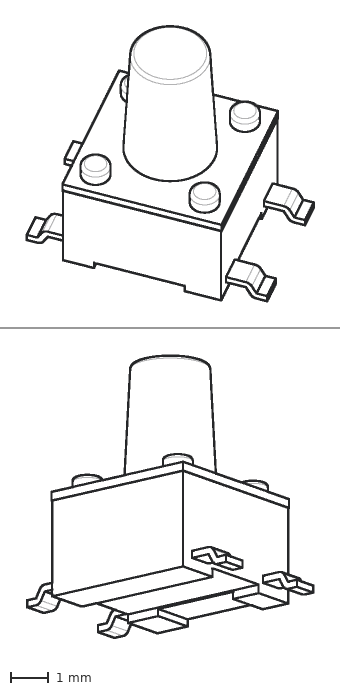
import cadquery as cq
import math


BODY_WIDTH = 4.475
BODY_HEIGHT = 2.66
COVER_WIDTH = 4.5
COVER_TOP = 2.905

CHANNEL_WIDTH = 1.96
CHANNEL_HEIGHT = 0.24
NOTCH_LENGTH = 2.565
NOTCH_HEIGHT = 0.2
NOTCH_CENTER_X = -0.08

PLUNGER_TOP = 6.5
PLUNGER_BASE_DIAMETER = 2.5
PLUNGER_TOP_DIAMETER = 2.135
EDGE_ROUNDING = 0.1

RIVET_DIAMETER = 0.8
RIVET_TOP = 3.305
RIVET_SPACING_X = 3.09
RIVET_SPACING_Y = 3.195

LEAD_SPAN = 6.8
LEAD_SPACING_Y = 3.005
LEAD_WIDTH = 0.7
LEAD_THICKNESS = 0.2
LEAD_TOP = 0.525
LEAD_FOOT_LENGTH = 0.3
LEAD_SLOPE = math.radians(60)
LEAD_EMBED = 0.135


def make_body():
    """Square housing with its cover, an X channel below and a notch joining it from -Y."""
    housing = cq.Workplane("XY").box(BODY_WIDTH, BODY_WIDTH, BODY_HEIGHT, centered=(True, True, False))
    cover = (
        cq.Workplane("XY")
        .workplane(offset=BODY_HEIGHT)
        .rect(COVER_WIDTH, COVER_WIDTH)
        .extrude(COVER_TOP - BODY_HEIGHT)
    )
    channel = cq.Workplane("XY").box(
        BODY_WIDTH, CHANNEL_WIDTH, CHANNEL_HEIGHT, centered=(True, True, False)
    )
    notch = (
        cq.Workplane("XY")
        .box(NOTCH_LENGTH, BODY_WIDTH / 2, NOTCH_HEIGHT, centered=(True, False, False))
        .translate((NOTCH_CENTER_X, -BODY_WIDTH / 2, 0))
    )
    return housing.cut(channel).cut(notch).union(cover)


def make_plunger():
    """Straight-sided cone with a rounded top edge."""
    return (
        cq.Workplane("XY")
        .workplane(offset=COVER_TOP)
        .circle(PLUNGER_BASE_DIAMETER / 2)
        .workplane(offset=PLUNGER_TOP - COVER_TOP)
        .circle(PLUNGER_TOP_DIAMETER / 2)
        .loft(ruled=True)
        .faces(">Z")
        .edges()
        .fillet(EDGE_ROUNDING)
    )


def make_rivets():
    """Four round heads with rounded top edges."""
    return (
        cq.Workplane("XY")
        .workplane(offset=COVER_TOP)
        .rarray(RIVET_SPACING_X, RIVET_SPACING_Y, 2, 2)
        .circle(RIVET_DIAMETER / 2)
        .extrude(RIVET_TOP - COVER_TOP)
        .faces(">Z")
        .edges()
        .fillet(EDGE_ROUNDING)
    )


def make_left_lead(center_y):
    """Bent strip: each bend has a sharp inner corner and an outer arc centred on it."""
    tip_x = -LEAD_SPAN / 2
    root_x = -BODY_WIDTH / 2 + LEAD_EMBED
    lower_z = LEAD_THICKNESS
    upper_z = LEAD_TOP - LEAD_THICKNESS

    rise = upper_z - lower_z
    run = (LEAD_THICKNESS + rise * math.cos(LEAD_SLOPE)) / math.sin(LEAD_SLOPE)
    lower_x = tip_x + LEAD_FOOT_LENGTH
    upper_x = lower_x + run

    def lower_arc(angle):
        return (
            lower_x + LEAD_THICKNESS * math.sin(angle),
            lower_z - LEAD_THICKNESS * math.cos(angle),
        )

    def upper_arc(angle):
        return (
            upper_x - LEAD_THICKNESS * math.sin(angle),
            upper_z + LEAD_THICKNESS * math.cos(angle),
        )

    return (
        cq.Workplane("XZ", origin=(0, center_y, 0))
        .moveTo(tip_x, 0)
        .lineTo(lower_x, 0)
        .threePointArc(lower_arc(LEAD_SLOPE / 2), lower_arc(LEAD_SLOPE))
        .lineTo(upper_x, upper_z)
        .lineTo(root_x, upper_z)
        .lineTo(root_x, LEAD_TOP)
        .lineTo(upper_x, LEAD_TOP)
        .threePointArc(upper_arc(LEAD_SLOPE / 2), upper_arc(LEAD_SLOPE))
        .lineTo(lower_x, lower_z)
        .lineTo(tip_x, lower_z)
        .close()
        .extrude(LEAD_WIDTH / 2, both=True)
    )


result = make_body().union(make_plunger()).union(make_rivets())
for side in (-1, 1):
    left_lead = make_left_lead(side * LEAD_SPACING_Y / 2)
    result = result.union(left_lead).union(left_lead.mirror("YZ"))